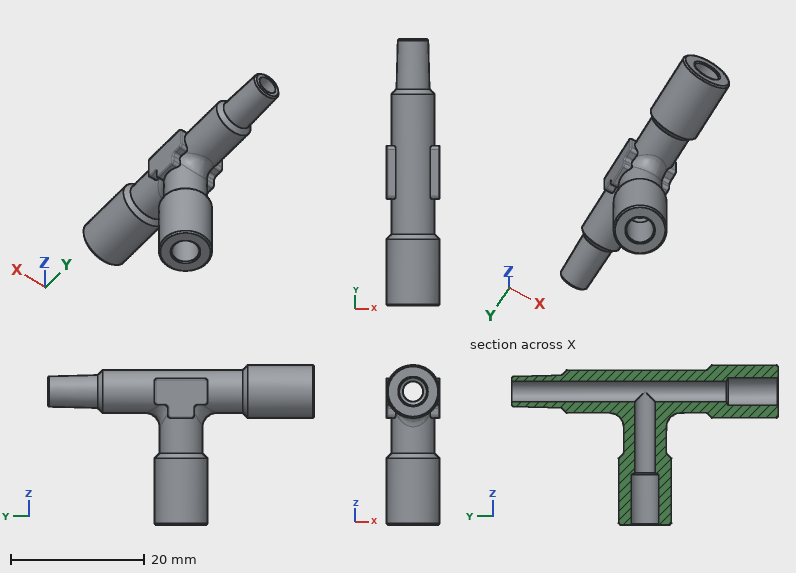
import cadquery as cq
import math


ARM_LENGTH = 20.0

TUBE_RADIUS = 3.25
HUB_RADIUS = 4.0
HUB_LENGTH = 10.0
HUB_START = ARM_LENGTH - HUB_LENGTH
HUB_SHOULDER = HUB_RADIUS - TUBE_RADIUS
END_CHAMFER = 0.25
CROTCH_FILLET = 2.0

SPIGOT_LENGTH = 7.5
SPIGOT_BASE_RADIUS = 2.5
SPIGOT_TIP_RADIUS = 2.31
SPIGOT_SHOULDER = TUBE_RADIUS - SPIGOT_BASE_RADIUS

BORE_RADIUS = 1.5
SOCKET_RADIUS = 2.05
SOCKET_DEPTH = SPIGOT_LENGTH
SOCKET_MOUTH_CHAMFER = 0.2
DRILL_POINT_ANGLE = 120.0
SOCKET_CONE_LENGTH = (SOCKET_RADIUS - BORE_RADIUS) / math.tan(math.radians(DRILL_POINT_ANGLE / 2))

PLATE_FACE_X = HUB_RADIUS
PLATE_HALF_WIDTH = 4.0
PLATE_HALF_HEIGHT = 2.0
PLATE_TAB_HALF_WIDTH = 2.0
PLATE_TAB_BOTTOM = -4.0
PLATE_CORNER_RADIUS = 0.5
PLATE_EDGE_FILLET = 0.2
PLATE_ROOT_X = (BORE_RADIUS + TUBE_RADIUS) / 2


def revolve_about_branch(profile):
    """Turn (radius, distance) points into a body running down the -Z axis."""
    points = [(radius, -distance) for radius, distance in profile]
    return cq.Workplane("XZ").polyline(points).close().revolve(360, (0, 0), (0, 1))


def aim_at_minus_y(body):
    """Swing a body lying along -Z so that it lies along -Y."""
    return body.rotate((0, 0, 0), (1, 0, 0), -90)


def aim_at_plus_y(body):
    """Swing a body lying along -Z so that it lies along +Y."""
    return body.rotate((0, 0, 0), (1, 0, 0), 90)


def make_crossing():
    """Plain tubes of the run and the branch, blended where they meet."""
    run = cq.Workplane("XZ").circle(TUBE_RADIUS).extrude(HUB_START, both=True)
    branch = cq.Workplane("XY").circle(TUBE_RADIUS).extrude(-HUB_START)
    return run.union(branch).edges("%ELLIPSE").fillet(CROTCH_FILLET)


def make_hub():
    """Enlarged end of an arm, with a shoulder behind and a chamfered rim."""
    return revolve_about_branch([
        (0, HUB_START - HUB_SHOULDER),
        (TUBE_RADIUS, HUB_START - HUB_SHOULDER),
        (HUB_RADIUS, HUB_START),
        (HUB_RADIUS, ARM_LENGTH - END_CHAMFER),
        (HUB_RADIUS - END_CHAMFER, ARM_LENGTH),
        (0, ARM_LENGTH),
    ])


def make_spigot():
    """Rest of the run's tube, its shoulder, and the tapered spigot."""
    spigot_start = ARM_LENGTH - SPIGOT_LENGTH
    return revolve_about_branch([
        (0, HUB_START),
        (TUBE_RADIUS, HUB_START),
        (TUBE_RADIUS, spigot_start - SPIGOT_SHOULDER),
        (SPIGOT_BASE_RADIUS, spigot_start),
        (SPIGOT_TIP_RADIUS, ARM_LENGTH - END_CHAMFER),
        (SPIGOT_TIP_RADIUS - END_CHAMFER, ARM_LENGTH),
        (0, ARM_LENGTH),
    ])


def make_socket_passage():
    """Chamfered socket, drill-point cone and bore of a hub arm, back to the crossing point."""
    socket_floor = ARM_LENGTH - SOCKET_DEPTH
    return revolve_about_branch([
        (0, 0),
        (BORE_RADIUS, 0),
        (BORE_RADIUS, socket_floor - SOCKET_CONE_LENGTH),
        (SOCKET_RADIUS, socket_floor),
        (SOCKET_RADIUS, ARM_LENGTH - SOCKET_MOUTH_CHAMFER),
        (SOCKET_RADIUS + SOCKET_MOUTH_CHAMFER, ARM_LENGTH),
        (0, ARM_LENGTH),
    ])


def make_plate():
    """T-shaped plate on the +X side, with rounded corners and a rounded face edge."""
    outline = [
        (-PLATE_HALF_WIDTH, PLATE_HALF_HEIGHT),
        (PLATE_HALF_WIDTH, PLATE_HALF_HEIGHT),
        (PLATE_HALF_WIDTH, -PLATE_HALF_HEIGHT),
        (PLATE_TAB_HALF_WIDTH, -PLATE_HALF_HEIGHT),
        (PLATE_TAB_HALF_WIDTH, PLATE_TAB_BOTTOM),
        (-PLATE_TAB_HALF_WIDTH, PLATE_TAB_BOTTOM),
        (-PLATE_TAB_HALF_WIDTH, -PLATE_HALF_HEIGHT),
        (-PLATE_HALF_WIDTH, -PLATE_HALF_HEIGHT),
    ]
    blank = (
        cq.Workplane("YZ", origin=(PLATE_ROOT_X, 0, 0))
        .polyline(outline)
        .close()
        .extrude(PLATE_FACE_X - PLATE_ROOT_X)
    )
    rounded = blank.edges("|X").fillet(PLATE_CORNER_RADIUS)
    return rounded.faces(">X").edges().fillet(PLATE_EDGE_FILLET)


def make_spigot_passage():
    """Plain bore from the crossing point out through the spigot."""
    return cq.Workplane("XZ").circle(BORE_RADIUS).extrude(-ARM_LENGTH)


plate = make_plate()
hub = make_hub()
socket_passage = make_socket_passage()

body = (
    make_crossing()
    .union(plate)
    .union(plate.mirror("YZ"))
    .union(hub)
    .union(aim_at_minus_y(hub))
    .union(aim_at_plus_y(make_spigot()))
)
result = (
    body
    .cut(socket_passage)
    .cut(aim_at_minus_y(socket_passage))
    .cut(make_spigot_passage())
)